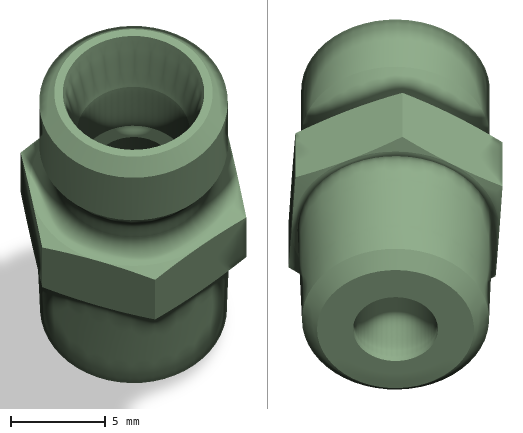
import cadquery as cq
import math

length = 20.0
hex_bottom = 8.0
hex_top = 12.0
hex_flats = 11.0

thread_radius = 5.0
neck_radius = 4.2
chamfer = 0.8
thread_bottom = 15.4
runout_angle = 30.0
neck_blend = 0.8
runout_blend = 0.8

taper_on_diameter = 1 / 16
taper_small_radius = 4.95
taper_large_radius = taper_small_radius + (hex_bottom - chamfer) * taper_on_diameter / 2

hex_chamfer_angle = 15.0

bore_radius = 4.5 / 2
socket_radius = 6.0 / 2
socket_depth = 7.0
mouth_radius = 7.5 / 2
cone_half_angle = 12.0


def make_shank():
    """Revolved outside profile, without the hexagon."""
    runout_height = (thread_radius - neck_radius) / math.tan(math.radians(runout_angle))
    runout_bottom = thread_bottom - runout_height
    tangent_length = runout_blend * math.tan(math.radians(runout_angle / 2))
    blend_start = (neck_radius, runout_bottom - tangent_length)
    blend_end = (
        neck_radius + tangent_length * math.sin(math.radians(runout_angle)),
        runout_bottom + tangent_length * math.cos(math.radians(runout_angle)),
    )
    return (
        cq.Workplane("XZ")
        .lineTo(taper_small_radius - chamfer, 0)
        .lineTo(taper_small_radius, chamfer)
        .lineTo(taper_large_radius, hex_bottom)
        .lineTo(neck_radius + neck_blend, hex_bottom)
        .lineTo(neck_radius + neck_blend, hex_top)
        .radiusArc((neck_radius, hex_top + neck_blend), neck_blend)
        .lineTo(*blend_start)
        .tangentArcPoint(blend_end, relative=False)
        .lineTo(thread_radius, thread_bottom)
        .lineTo(thread_radius, length - chamfer)
        .lineTo(thread_radius - chamfer, length)
        .lineTo(0, length)
        .close()
        .revolve(360, (0, 0, 0), (0, 1, 0))
    )


def make_hexagon():
    """Hexagon with flats facing X and corners chamfered at both ends."""
    corner_diameter = hex_flats / math.cos(math.radians(30))
    flat_radius = hex_flats / 2
    corner_radius = corner_diameter / 2
    chamfer_height = (corner_radius - flat_radius) * math.tan(math.radians(hex_chamfer_angle))
    prism = (
        cq.Workplane("XY")
        .workplane(offset=hex_bottom)
        .polygon(6, corner_diameter)
        .extrude(hex_top - hex_bottom)
        .rotate((0, 0, 0), (0, 0, 1), 30)
    )
    envelope = (
        cq.Workplane("XZ")
        .moveTo(0, hex_bottom)
        .lineTo(flat_radius, hex_bottom)
        .lineTo(corner_radius, hex_bottom + chamfer_height)
        .lineTo(corner_radius, hex_top - chamfer_height)
        .lineTo(flat_radius, hex_top)
        .lineTo(0, hex_top)
        .close()
        .revolve(360, (0, 0, 0), (0, 1, 0))
    )
    return prism.intersect(envelope)


def make_bore():
    """Through bore, stepped tube socket and conical mouth."""
    cone_depth = (mouth_radius - socket_radius) / math.tan(math.radians(cone_half_angle))
    return (
        cq.Workplane("XZ")
        .lineTo(bore_radius, 0)
        .lineTo(bore_radius, length - socket_depth)
        .lineTo(socket_radius, length - socket_depth)
        .lineTo(socket_radius, length - cone_depth)
        .lineTo(mouth_radius, length)
        .lineTo(0, length)
        .close()
        .revolve(360, (0, 0, 0), (0, 1, 0))
    )


result = make_shank().union(make_hexagon()).cut(make_bore())